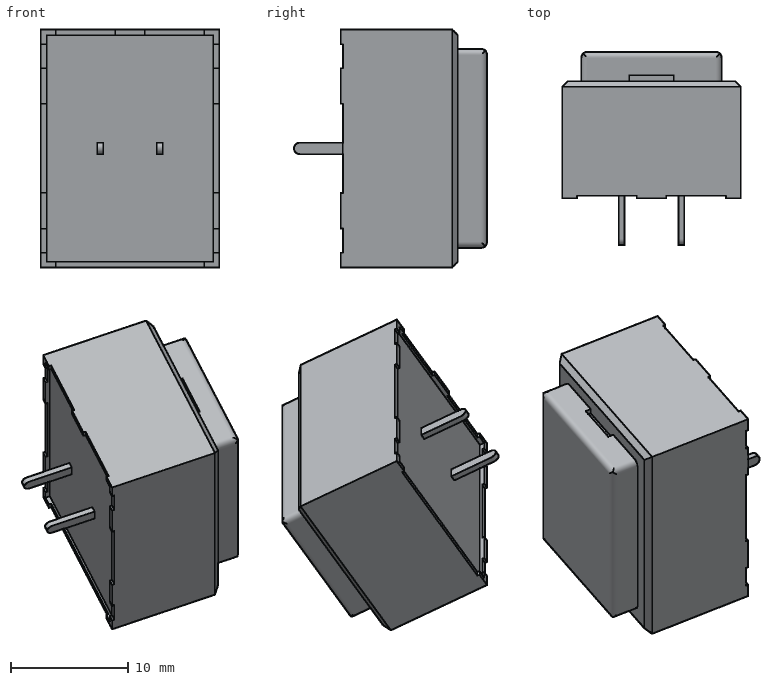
import cadquery as cq

WIDTH = 15.25
HEIGHT = 20.32
TOTAL_DEPTH = 16.48
HOUSING_DEPTH = 10.0
FRONT_CHAMFER = 0.49

RIM_WALL = 0.5
FLOOR_RECESS = 0.4
NOTCH_DEPTH = 0.2
CORNER_FOOT = 1.28
SIDE_TAB_LENGTH = 3.05
SIDE_TAB_OFFSET = 5.32
TOP_TAB_LENGTH = 2.52

COVER_WIDTH = 11.99
COVER_HEIGHT = 16.99
COVER_DEPTH = 2.5
COVER_RADIUS = 0.5
PRY_SLOT_WIDTH = 3.78
PRY_SLOT_DEPTH = 0.49
PRY_SLOT_CUT = 0.49

PIN_PITCH = 5.08
PIN_THICKNESS = 0.5
PIN_HEIGHT = 1.0

FLOOR_Y = FLOOR_RECESS
COVER_BASE_Y = HOUSING_DEPTH
PIN_TIP_Y = HOUSING_DEPTH + COVER_DEPTH - TOTAL_DEPTH


def box(x_size, z_size, y_start, y_end, x=0, z=0):
    """Block centred on x and z that spans y_start to y_end."""
    depth = y_end - y_start
    return cq.Workplane("XY").box(x_size, depth, z_size).translate((x, y_start + depth / 2, z))


def make_housing():
    """Block with a chamfered front and a notched rim around its recessed back floor."""
    body = box(WIDTH, HEIGHT, NOTCH_DEPTH, HOUSING_DEPTH).faces(">Y").chamfer(FRONT_CHAMFER)

    for x_side in (-1, 1):
        for z_side in (-1, 1):
            foot_x = x_side * (WIDTH - CORNER_FOOT) / 2
            foot_z = z_side * (HEIGHT - CORNER_FOOT) / 2
            body = body.union(box(CORNER_FOOT, CORNER_FOOT, 0, NOTCH_DEPTH, foot_x, foot_z))
            tab_x = x_side * (WIDTH - RIM_WALL) / 2
            tab_z = z_side * SIDE_TAB_OFFSET
            body = body.union(box(RIM_WALL, SIDE_TAB_LENGTH, 0, NOTCH_DEPTH, tab_x, tab_z))
    top_tab_z = (HEIGHT - RIM_WALL) / 2
    body = body.union(box(TOP_TAB_LENGTH, RIM_WALL, 0, NOTCH_DEPTH, 0, top_tab_z))

    recess = box(WIDTH - 2 * RIM_WALL, HEIGHT - 2 * RIM_WALL, 0, FLOOR_Y)
    return body.cut(recess)


def make_cover():
    """Cover whose rounded edges meet in mitred corners, with a pry slot at the base of its upper side."""
    block = box(COVER_WIDTH, COVER_HEIGHT, COVER_BASE_Y, COVER_BASE_Y + COVER_DEPTH)
    cover = block.edges("|Y").fillet(COVER_RADIUS)
    for edge_direction in ("|X", "|Z"):
        front_edges = block.edges(">Y").edges(edge_direction)
        cover = cover.intersect(front_edges.fillet(COVER_RADIUS))
    slot_z = (COVER_HEIGHT - PRY_SLOT_CUT) / 2
    slot = box(PRY_SLOT_WIDTH, PRY_SLOT_CUT, COVER_BASE_Y, COVER_BASE_Y + PRY_SLOT_DEPTH, 0, slot_z)
    return cover.cut(slot)


def make_pin(x):
    """Flat pin that stands on the recessed floor and ends in a half-round tip."""
    tip_radius = PIN_HEIGHT / 2
    shoulder_y = PIN_TIP_Y + tip_radius
    profile = (
        cq.Workplane("YZ")
        .moveTo(FLOOR_Y, -tip_radius)
        .lineTo(shoulder_y, -tip_radius)
        .threePointArc((PIN_TIP_Y, 0), (shoulder_y, tip_radius))
        .lineTo(FLOOR_Y, tip_radius)
        .close()
    )
    return profile.extrude(PIN_THICKNESS / 2, both=True).translate((x, 0, 0))


housing = make_housing()
cover = make_cover()
pins = [make_pin(side * PIN_PITCH / 2) for side in (-1, 1)]

result = cq.Compound.makeCompound([housing.val(), cover.val(), *[pin.val() for pin in pins]])